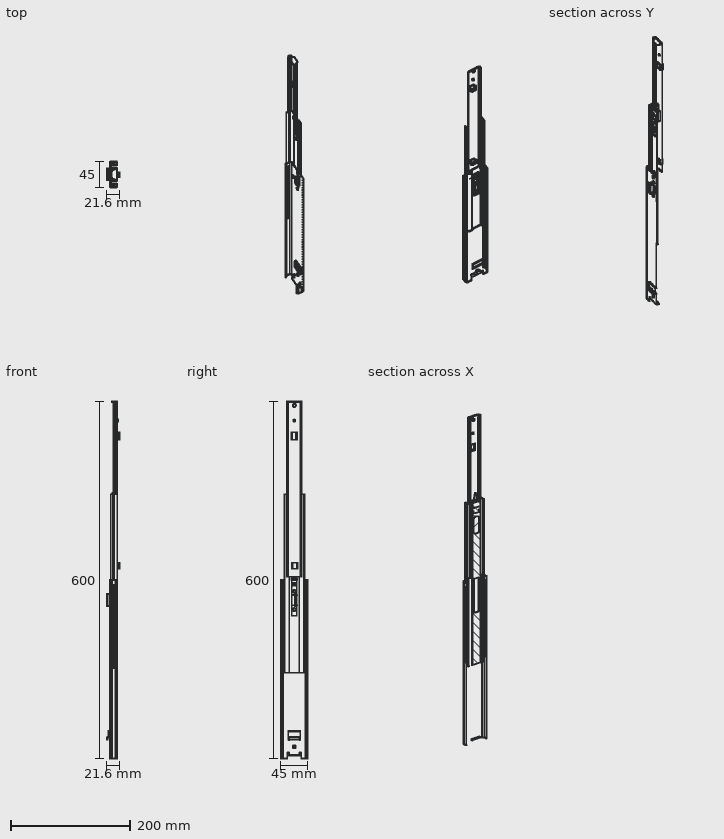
import cadquery as cq
import math


TOTAL_LENGTH = 600.0
RAIL_LENGTH = 300.0
SHEET = 1.5
EPS = 1.0

OUTER_HALF = 22.49
OUTER_DEPTH = 13.2
OUTER_BACK_BEVEL = 2.8
OUTER_FRONT_BEVEL = 2.0
OUTER_SIDE_BEVEL = 2.0
OUTER_LIP_HALF = 18.5

MIDDLE_HALF = 17.2
MIDDLE_BACK = 2.0
MIDDLE_FRONT = 13.0
MIDDLE_BEND = 2.6
MIDDLE_TOP = 444.0
RECESS_HALF = 8.7
RECESS_DEPTH = 1.3
BAND_OVERLAP = 0.4

INNER_HALF = 12.3
INNER_BACK = 6.5
INNER_FRONT = OUTER_DEPTH
INNER_BEND = 1.6
INNER_BEVEL = 2.0
INNER_LIP_HALF = 9.8
INNER_BOTTOM = 305.0

RACE_X = 6.5
MIDDLE_BOTTOM = MIDDLE_TOP - RAIL_LENGTH
BAND_BACK = MIDDLE_BACK + RECESS_DEPTH
BAND_FRONT = BAND_BACK + SHEET


def block(x0, x1, y0, y1, z0, z1):
    """Box given by its limits along each axis."""
    return cq.Workplane("XY").box(x1 - x0, y1 - y0, z1 - z0, centered=False).translate((x0, y0, z0))


def centred_block(x0, x1, half, z0, z1):
    """Box symmetric about y = 0."""
    return block(x0, x1, -half, half, z0, z1)


def rod_x(radius, x0, x1, y, z):
    """Round bar along X."""
    return cq.Workplane("YZ").center(y, z).circle(radius).extrude(x1 - x0).translate((x0, 0, 0))


def plate_yz(outline, x0, x1):
    """Flat plate with a straight-sided outline of (y, z) points."""
    return cq.Workplane("YZ").polyline(outline).close().extrude(x1 - x0).translate((x0, 0, 0))


def bevelled_bar(x0, x1, half, back_bevel, front_bevel, side_bevel, z0, z1):
    """Bar along Z with bevelled corners, symmetric about y = 0."""
    outline = [
        (x0 + back_bevel, -half), (x1 - front_bevel, -half), (x1, side_bevel - half),
        (x1, half - side_bevel), (x1 - front_bevel, half), (x0 + back_bevel, half),
        (x0, half - side_bevel), (x0, side_bevel - half),
    ]
    return cq.Workplane("XY").polyline(outline).close().extrude(z1 - z0).translate((0, 0, z0))


HOLE_RADIUS = 2.3
HOLE_HEIGHTS = (281.0, 250.3)
DIMPLE_RADIUS = 2.8
DIMPLE_CORE_RADIUS = 1.5
DIMPLE_DEPTH = 0.8
DIMPLE_HEIGHTS = (292.8, 20.0)
SIDE_DIMPLE_Y = 16.3
SIDE_DIMPLE_Z = 266.0
BACK_REACH = 4.485

HOOK_BOTTOM = 256.0
HOOK_TOP = 276.5
HOOK_FLANGE_Y = 6.7
HOOK_LEG_Y = 0.5
HOOK_WINDOW_Y = (-4.2, 8.5)
HOOK_WINDOW_INSET = 1.8

TAB_TOP = 46.5
TAB_KNEE = 37.2
TAB_FLARE_END = 35.6
TAB_TIP = 31.5
TAB_HALF = 10.0
TAB_TIP_HALF = 8.3
TAB_OFFSET = 2.0

NOTCH_HALF = 11.4
NOTCH_TOP = 10.0
STOP_HALF = 9.0
STOP_BEND = 5.0
STOP_REACH = 7.0


def back_hook():
    """L-shaped hook standing off the back of the outer web."""
    height = (HOOK_BOTTOM, HOOK_TOP)
    flange = block(-BACK_REACH, SHEET - BACK_REACH, HOOK_LEG_Y, HOOK_FLANGE_Y, *height)
    leg = block(-BACK_REACH, SHEET, HOOK_LEG_Y, HOOK_LEG_Y + SHEET, *height)
    return flange.union(leg)


def hook_window():
    """Opening the hook was lanced from, shorter than the hook so its ends stay on the web."""
    bottom = HOOK_BOTTOM + HOOK_WINDOW_INSET
    top = HOOK_TOP - HOOK_WINDOW_INSET
    return block(-EPS, SHEET + EPS, *HOOK_WINDOW_Y, bottom, top)


def back_tab():
    """Joggled tab: steps out of the web, runs down and flares away at the tip."""
    side = [
        (0, TAB_TOP), (-TAB_OFFSET, TAB_TOP), (-TAB_OFFSET, TAB_KNEE), (-BACK_REACH, TAB_FLARE_END),
        (-BACK_REACH, TAB_TIP), (SHEET - BACK_REACH, TAB_TIP),
        (SHEET - BACK_REACH, TAB_FLARE_END - SHEET / 2), (SHEET - TAB_OFFSET, TAB_KNEE - SHEET / 2),
        (SHEET - TAB_OFFSET, TAB_TOP - SHEET), (0, TAB_TOP - SHEET),
    ]
    strip = cq.Workplane("XZ").polyline(side).close().extrude(TAB_HALF, both=True)
    face = [
        (-TAB_HALF, TAB_TOP), (-TAB_HALF, TAB_FLARE_END), (-TAB_TIP_HALF, TAB_TIP),
        (TAB_TIP_HALF, TAB_TIP), (TAB_HALF, TAB_FLARE_END), (TAB_HALF, TAB_TOP),
    ]
    return strip.intersect(plate_yz(face, -BACK_REACH, SHEET))


def end_stop():
    """Tab in the bottom notch, bent inward through a quarter turn."""
    inner_radius = STOP_BEND - SHEET
    diagonal = math.sqrt(0.5)
    return (
        cq.Workplane("XZ")
        .moveTo(0, NOTCH_TOP)
        .threePointArc((STOP_BEND * (1 - diagonal), NOTCH_TOP - STOP_BEND * diagonal),
                       (STOP_BEND, NOTCH_TOP - STOP_BEND))
        .lineTo(STOP_REACH, NOTCH_TOP - STOP_BEND)
        .lineTo(STOP_REACH, NOTCH_TOP - inner_radius)
        .lineTo(STOP_BEND, NOTCH_TOP - inner_radius)
        .threePointArc((STOP_BEND - inner_radius * diagonal, NOTCH_TOP - inner_radius * diagonal),
                       (SHEET, NOTCH_TOP))
        .close()
        .extrude(STOP_HALF, both=True)
    )


def make_outer_rail():
    bevels = (OUTER_BACK_BEVEL, OUTER_FRONT_BEVEL, OUTER_SIDE_BEVEL)
    rail = bevelled_bar(0, OUTER_DEPTH, OUTER_HALF, *bevels, 0, RAIL_LENGTH)
    rail = rail.cut(bevelled_bar(SHEET, OUTER_DEPTH - SHEET, OUTER_HALF - SHEET, *bevels, 0, RAIL_LENGTH))
    opening_back = OUTER_DEPTH - SHEET - EPS
    rail = rail.cut(centred_block(opening_back, OUTER_DEPTH + EPS, OUTER_LIP_HALF, 0, RAIL_LENGTH))
    for z in HOLE_HEIGHTS:
        rail = rail.cut(rod_x(HOLE_RADIUS, -EPS, SHEET + EPS, 0, z))
    for z in DIMPLE_HEIGHTS:
        ring = rod_x(DIMPLE_RADIUS, 0, DIMPLE_DEPTH, 0, z)
        rail = rail.cut(ring.cut(rod_x(DIMPLE_CORE_RADIUS, 0, DIMPLE_DEPTH, 0, z)))
    rail = rail.cut(rod_x(DIMPLE_RADIUS, 0, DIMPLE_DEPTH, SIDE_DIMPLE_Y, SIDE_DIMPLE_Z))
    rail = rail.cut(hook_window()).union(back_hook())
    rail = rail.cut(centred_block(-EPS, SHEET + EPS, TAB_HALF, TAB_TIP, TAB_TOP - SHEET)).union(back_tab())
    rail = rail.cut(centred_block(-EPS, SHEET + EPS, NOTCH_HALF, -EPS, NOTCH_TOP))
    return rail.union(end_stop())


EAR_HALF = 12.2
EAR_TOP = 433.3
EAR_BOTTOM = 428.8
STEM_HALF = 4.8
STEM_BOTTOM = 424.2
HEAD_HALF = 8.3
HEAD_THICKNESS = 4.0
TRIGGER_THICKNESS = 1.8
HEAD_PROTRUSION = 2.5
HEAD_TOP = MIDDLE_TOP + HEAD_PROTRUSION
TRIGGER_TOP = 458.5
TRIGGER_LEFT = 2.0
TRIGGER_TIP_LEFT = -0.5
TRIGGER_RIGHT = -4.6

SLIDER_HALF = 4.8
SLIDER_TOP = 416.5
SLIDER_BOTTOM = 386.0
SLIDER_CROWN = 2.0
GRIP_TOP = 406.8
GRIP_BOTTOM = 397.8
GRIP_HEIGHT = 1.0
GRIP_POCKET_HALF = 1.8
GRIP_POCKET_RIM = 2.4


def latch_plug():
    """T-shaped part of the latch that fills the opening in the middle web."""
    ears = centred_block(MIDDLE_BACK, BAND_FRONT, EAR_HALF, EAR_BOTTOM, EAR_TOP)
    for side in (-1, 1):
        y_near, y_far = sorted((side * RECESS_HALF, side * (EAR_HALF + EPS)))
        ears = ears.cut(block(MIDDLE_BACK + SHEET, BAND_FRONT + EPS, y_near, y_far, EAR_BOTTOM, EAR_TOP))
    return ears.union(centred_block(MIDDLE_BACK, BAND_FRONT, STEM_HALF, STEM_BOTTOM, EAR_TOP))


def make_latch():
    head = centred_block(BAND_FRONT, BAND_FRONT + HEAD_THICKNESS, HEAD_HALF, STEM_BOTTOM, HEAD_TOP)
    trigger_outline = [
        (TRIGGER_RIGHT, EAR_TOP), (TRIGGER_LEFT, EAR_TOP), (TRIGGER_LEFT, HEAD_TOP),
        (TRIGGER_TIP_LEFT, TRIGGER_TOP), (TRIGGER_RIGHT, TRIGGER_TOP - SHEET),
    ]
    head_front = BAND_FRONT + HEAD_THICKNESS
    trigger = plate_yz(trigger_outline, head_front - TRIGGER_THICKNESS, head_front)
    return latch_plug().union(head).union(trigger)


def slider_plate():
    """Arched-end plate that fills its opening in the middle web."""
    return (
        cq.Workplane("YZ")
        .moveTo(-SLIDER_HALF, SLIDER_BOTTOM + SLIDER_CROWN)
        .threePointArc((0, SLIDER_BOTTOM), (SLIDER_HALF, SLIDER_BOTTOM + SLIDER_CROWN))
        .lineTo(SLIDER_HALF, SLIDER_TOP - SLIDER_CROWN)
        .threePointArc((0, SLIDER_TOP), (-SLIDER_HALF, SLIDER_TOP - SLIDER_CROWN))
        .close()
        .extrude(SHEET)
        .translate((BAND_BACK, 0, 0))
    )


def make_slider():
    grip_back = BAND_BACK - GRIP_HEIGHT
    grip = centred_block(grip_back, BAND_BACK, SLIDER_HALF, GRIP_BOTTOM, GRIP_TOP)
    pocket = centred_block(grip_back, BAND_BACK, GRIP_POCKET_HALF,
                           GRIP_BOTTOM + GRIP_POCKET_RIM, GRIP_TOP - GRIP_POCKET_RIM)
    return slider_plate().union(grip.cut(pocket))


SLOT_HALF = 4.5
SLOT_TOP = 302.6
SLOT_BOTTOM = 240.0
GROOVE_WIDTH = 3.0
GROOVE_DEPTH = 0.7
GROOVE_RADIUS = ((GROOVE_WIDTH / 2) ** 2 + GROOVE_DEPTH ** 2) / (2 * GROOVE_DEPTH)


def make_middle_rail():
    height = (MIDDLE_BOTTOM, MIDDLE_TOP)
    rail = centred_block(MIDDLE_BACK, MIDDLE_FRONT, MIDDLE_HALF, *height)
    rail = rail.edges("|Z and <X").fillet(MIDDLE_BEND)
    hollow = centred_block(MIDDLE_BACK + SHEET, MIDDLE_FRONT + EPS, MIDDLE_HALF - SHEET, *height)
    rail = rail.cut(hollow.edges("|Z and <X").fillet(MIDDLE_BEND - SHEET))
    band = centred_block(BAND_BACK, BAND_FRONT, RECESS_HALF, *height)
    recess = centred_block(MIDDLE_BACK, BAND_BACK, RECESS_HALF - BAND_OVERLAP, *height)
    rail = rail.union(band).cut(recess)
    for side in (-1, 1):
        groove_y = side * (MIDDLE_HALF - GROOVE_DEPTH + GROOVE_RADIUS)
        groove = cq.Workplane("XY", origin=(RACE_X, groove_y, MIDDLE_BOTTOM)).circle(GROOVE_RADIUS)
        rail = rail.cut(groove.extrude(RAIL_LENGTH))
    rail = rail.cut(centred_block(0, BAND_FRONT + EPS, SLOT_HALF, SLOT_BOTTOM, SLOT_TOP))
    return rail.cut(latch_plug()).cut(slider_plate())


STRIP_END_GAP = 8.0
STRIP_BOTTOM = MIDDLE_BOTTOM + STRIP_END_GAP
STRIP_TOP = RAIL_LENGTH - STRIP_END_GAP


def make_ball_strip(side):
    """Retainer bar on the outer arm, running along the middle rail's groove."""
    y_near, y_far = sorted((side * MIDDLE_HALF, side * (OUTER_HALF - SHEET)))
    return block(RACE_X - GROOVE_WIDTH / 2, RACE_X + GROOVE_WIDTH / 2, y_near, y_far, STRIP_BOTTOM, STRIP_TOP)


END_TAB_ROOT_HALF = 10.0
END_TAB_TIP_HALF = 6.0
END_TAB_TIP_X = 3.4
END_HOLE_RADIUS = 2.5
END_HOLE_Z = 593.0
PIN_Z = 567.5
PIN_RADIUS = 1.8
PIN_BORE_RADIUS = 1.0
PIN_HEIGHT = 1.5
FRONT_REACH = 17.085
FRONT_HOOKS = ((535.5, 547.5, 0.0), (318.5, 328.5, 0.8))
FRONT_HOOK_HALF = 4.9
FRONT_HOOK_GAP = 1.8


def front_hook(bottom, top, shift):
    """L-shaped hook lanced out of the inner web."""
    leg_y = shift - FRONT_HOOK_HALF
    flange_y = shift + FRONT_HOOK_HALF - FRONT_HOOK_GAP
    leg = block(INNER_FRONT - SHEET, FRONT_REACH, leg_y, leg_y + SHEET, bottom, top)
    return leg.union(block(FRONT_REACH - SHEET, FRONT_REACH, leg_y, flange_y, bottom, top))


def end_tab():
    """Tapered tab bent over at the top of the inner rail."""
    outline = [
        (INNER_FRONT - SHEET, -END_TAB_ROOT_HALF), (END_TAB_TIP_X, -END_TAB_TIP_HALF),
        (END_TAB_TIP_X, END_TAB_TIP_HALF), (INNER_FRONT - SHEET, END_TAB_ROOT_HALF),
    ]
    return cq.Workplane("XY").polyline(outline).close().extrude(SHEET).translate((0, 0, TOTAL_LENGTH - SHEET))


def make_inner_rail():
    web_back = INNER_FRONT - SHEET
    height = (INNER_BOTTOM, TOTAL_LENGTH)
    rail = centred_block(INNER_BACK, INNER_FRONT, INNER_HALF, *height)
    rail = rail.edges("|Z and <X").fillet(INNER_BEND).edges("|Z and >X").chamfer(INNER_BEVEL)
    hollow = centred_block(INNER_BACK + SHEET, web_back, INNER_HALF - SHEET, *height)
    rail = rail.cut(hollow.edges("|Z and >X").chamfer(INNER_BEVEL - SHEET / 2))
    rail = rail.cut(centred_block(INNER_BACK - EPS, web_back, INNER_LIP_HALF, *height))
    rail = rail.union(end_tab()).cut(rod_x(END_HOLE_RADIUS, web_back - EPS, INNER_FRONT + EPS, 0, END_HOLE_Z))
    rail = rail.union(rod_x(PIN_RADIUS, web_back, INNER_FRONT + PIN_HEIGHT, 0, PIN_Z))
    rail = rail.cut(rod_x(PIN_BORE_RADIUS, web_back, INNER_FRONT, 0, PIN_Z))
    for bottom, top, shift in FRONT_HOOKS:
        window = block(web_back, INNER_FRONT, shift - FRONT_HOOK_HALF, shift + FRONT_HOOK_HALF, bottom, top)
        rail = rail.cut(window).union(front_hook(bottom, top, shift))
    return rail


outer_rail = make_outer_rail()
middle_rail = make_middle_rail()
inner_rail = make_inner_rail()
latch = make_latch()
slider = make_slider()
ball_strips = [make_ball_strip(side) for side in (-1, 1)]

result = cq.Compound.makeCompound(
    [outer_rail.val(), middle_rail.val(), inner_rail.val(), latch.val(), slider.val()]
    + [strip.val() for strip in ball_strips]
)